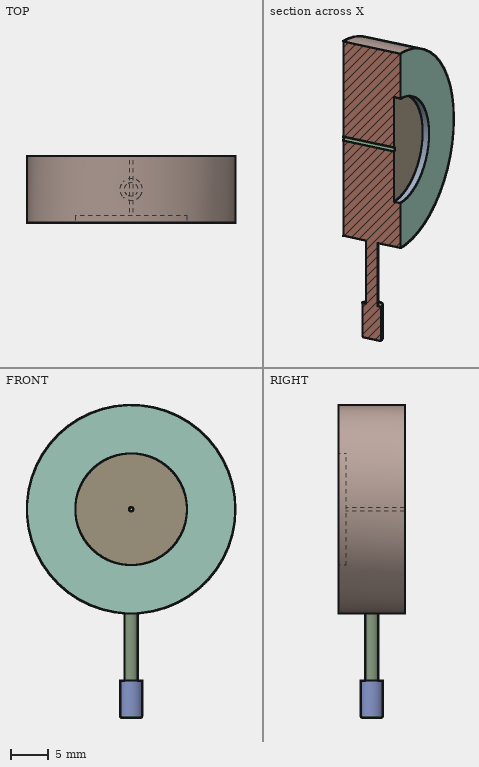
import cadquery as cq

total_height = 42.0
disc_diameter = 28.0
disc_thickness = 9.0

recess_diameter = 15.0
recess_depth = 1.0
pinhole_diameter = 0.5

stem_diameter = 1.8
grip_diameter = 3.0
grip_length = 5.0
grip_rounding = 0.3

disc_radius = disc_diameter / 2
front_y = -disc_thickness / 2
grip_bottom_z = disc_radius - total_height
grip_top_z = grip_bottom_z + grip_length
stem_embed = 2.1
stem_length = -disc_radius + stem_embed - grip_top_z


def cylinder_along_y(diameter, start_y, length):
    plane = cq.Plane(origin=(0, start_y, 0), xDir=(1, 0, 0), normal=(0, 1, 0))
    return cq.Workplane(plane).circle(diameter / 2).extrude(length)


def cylinder_along_z(diameter, start_z, length):
    return cq.Workplane("XY", origin=(0, 0, start_z)).circle(diameter / 2).extrude(length)


disc = cylinder_along_y(disc_diameter, front_y, disc_thickness)
recess = cylinder_along_y(recess_diameter, front_y, recess_depth)
pinhole = cylinder_along_y(pinhole_diameter, front_y, disc_thickness)

stem = cylinder_along_z(stem_diameter, grip_top_z, stem_length)
grip = cylinder_along_z(grip_diameter, grip_bottom_z, grip_length)
grip = grip.faces("<Z").edges().fillet(grip_rounding)

result = disc.union(stem).union(grip).cut(recess).cut(pinhole)